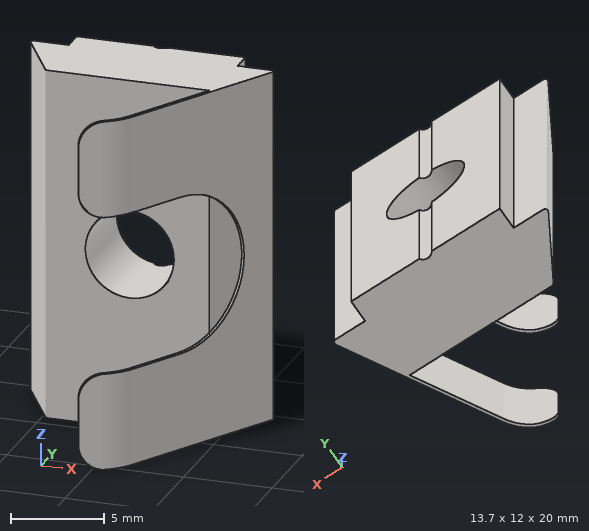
import cadquery as cq
import math

length = 20.0
boss_half_width = 4.78
shoulder_y = -1.35
front_y = -5.25
front_half_width = 4.75
flank_angle = math.radians(60)
shoulder_radius = 0.18
front_edge_radius = 0.2
hole_diameter = 5.0
groove_half_width = 0.4
groove_depth = 0.22

sheet = 0.2
bend_start_x = 1.88
bend_radius = 3.3
end_angle = math.radians(25)
end_length = 1.1
tip_corner_radius = 1.4
embed = 0.4

opening_radius = 4.5
opening_x = 3.58


def flank_y(x):
    """Y of the right flank plane at a given X."""
    return front_y + (x - front_half_width) * math.tan(flank_angle)


def along(point, angle, distance):
    """Point reached by moving down and left, at an angle from the X axis."""
    return (point[0] - distance * math.cos(angle), point[1] - distance * math.sin(angle))


def inward(point, angle, distance):
    """Point offset from the outer spring surface toward its inner surface."""
    return (point[0] - distance * math.sin(angle), point[1] + distance * math.cos(angle))


def make_body():
    shoulder_half_width = front_half_width + (shoulder_y - front_y) / math.tan(flank_angle)
    body = (
        cq.Workplane("XY")
        .workplane(offset=-length / 2)
        .moveTo(-boss_half_width, 0)
        .lineTo(-groove_half_width, 0)
        .threePointArc((0, -groove_depth), (groove_half_width, 0))
        .lineTo(boss_half_width, 0)
        .lineTo(boss_half_width, shoulder_y)
        .lineTo(shoulder_half_width, shoulder_y)
        .lineTo(front_half_width, front_y)
        .lineTo(-front_half_width, front_y)
        .lineTo(-shoulder_half_width, shoulder_y)
        .lineTo(-boss_half_width, shoulder_y)
        .close()
        .extrude(length)
    )
    body = body.edges("|Z and (<X or >X)").fillet(shoulder_radius)
    front_left_edge = cq.selectors.NearestToPointSelector((-front_half_width, front_y, 0))
    body = body.edges(front_left_edge).fillet(front_edge_radius)
    hole = cq.Workplane("XZ").circle(hole_diameter / 2).extrude(-2 * front_y, both=True)
    return body.cut(hole)


def make_arm(bottom_z, height):
    """Flat strip along the flank, bent to a shallower end with rounded corners."""
    mid_angle = (flank_angle + end_angle) / 2
    root = along((front_half_width, front_y), flank_angle, -embed)
    bend_start = (bend_start_x, flank_y(bend_start_x))
    bend_centre = inward(bend_start, flank_angle, bend_radius)
    bend_middle = inward(bend_centre, mid_angle, -bend_radius)
    bend_end = inward(bend_centre, end_angle, -bend_radius)
    tip = along(bend_end, end_angle, end_length)
    inner_tip = inward(tip, end_angle, sheet)
    arm = (
        cq.Workplane("XY")
        .workplane(offset=bottom_z)
        .moveTo(*root)
        .lineTo(*bend_start)
        .threePointArc(bend_middle, bend_end)
        .lineTo(*tip)
        .lineTo(*inner_tip)
        .lineTo(*inward(bend_end, end_angle, sheet))
        .threePointArc(inward(bend_middle, mid_angle, sheet), inward(bend_start, flank_angle, sheet))
        .lineTo(*inward(root, flank_angle, sheet))
        .close()
        .extrude(height)
    )
    for z in (bottom_z, bottom_z + height):
        corner = ((tip[0] + inner_tip[0]) / 2, (tip[1] + inner_tip[1]) / 2, z)
        arm = arm.edges(cq.selectors.NearestToPointSelector(corner)).fillet(tip_corner_radius)
    return arm


def make_opening():
    """Round-ended recess, one sheet thickness deep, sunk square to the flank."""
    outward = (math.sin(flank_angle), -math.cos(flank_angle), 0)
    flank = cq.Plane(origin=(opening_x, flank_y(opening_x), 0), xDir=(0, 0, 1), normal=outward)
    return cq.Workplane(flank).circle(opening_radius).extrude(-sheet)


def make_arm_roots():
    """Stretch of the sheet between the straight arm edges and the round end of the opening."""
    top = along((front_half_width, front_y), flank_angle, -embed)
    bottom = (opening_x, flank_y(opening_x))
    outline = [top, bottom, inward(bottom, flank_angle, sheet), inward(top, flank_angle, sheet)]
    return cq.Workplane("XY").polyline(outline).close().extrude(opening_radius, both=True)


arm_height = length / 2 - opening_radius
result = make_body()
for arm_bottom in (-length / 2, opening_radius):
    result = result.union(make_arm(arm_bottom, arm_height))
result = result.union(make_arm_roots()).cut(make_opening())